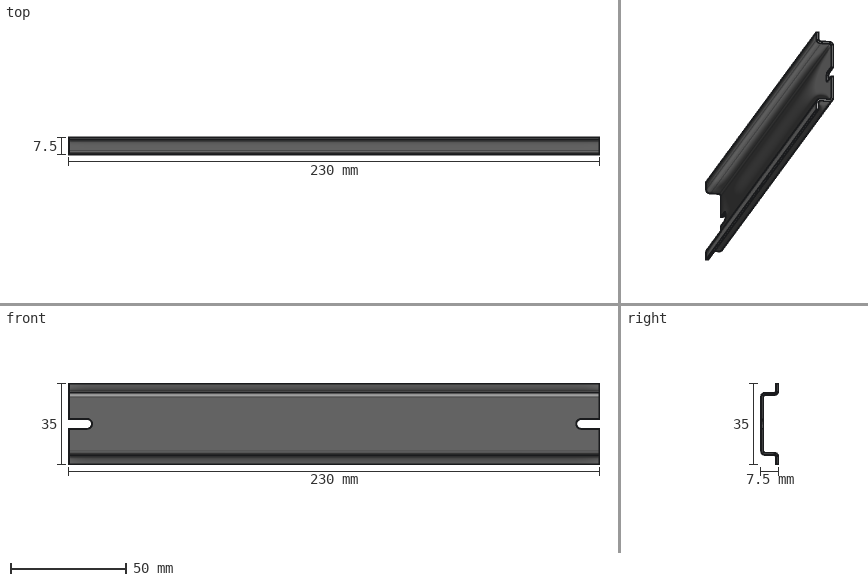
import cadquery as cq

length = 230.0
height = 35.0
depth = 7.5
crown_height = 27.0
sheet = 1.0
inner_bend_radius = 0.8
outer_bend_radius = inner_bend_radius + sheet

slot_width = 4.2
slot_depth = 10.0
slot_radius = slot_width / 2

crown_face_y = -depth / 2
flange_back_y = depth / 2


def bent_rail():
    """Extrude the sharp-cornered hat section and round its bends."""
    half_height = height / 2
    half_crown = crown_height / 2
    half_channel = half_crown - sheet
    crown_back_y = crown_face_y + sheet
    flange_front_y = flange_back_y - sheet

    section = [
        (crown_face_y, -half_crown),
        (crown_face_y, half_crown),
        (flange_front_y, half_crown),
        (flange_front_y, half_height),
        (flange_back_y, half_height),
        (flange_back_y, half_channel),
        (crown_back_y, half_channel),
        (crown_back_y, -half_channel),
        (flange_back_y, -half_channel),
        (flange_back_y, -half_height),
        (flange_front_y, -half_height),
        (flange_front_y, -half_crown),
    ]
    rail = cq.Workplane("YZ").polyline(section).close().extrude(length / 2, both=True)

    outer_bends = [(crown_face_y, half_crown), (flange_back_y, half_channel)]
    inner_bends = [(crown_back_y, half_channel), (flange_front_y, half_crown)]
    rail = round_bends(rail, outer_bends, outer_bend_radius)
    return round_bends(rail, inner_bends, inner_bend_radius)


def round_bends(rail, corners, radius):
    """Fillet the lengthwise edges at the given (y, z) corners and their mirror images in z."""
    half_gap = 0.01
    for y, z in corners:
        for side in (1, -1):
            corner_box = cq.selectors.BoxSelector(
                (-length, y - half_gap, side * z - half_gap),
                (length, y + half_gap, side * z + half_gap),
            )
            rail = rail.edges(corner_box).fillet(radius)
    return rail


def end_slot(end):
    """Cutter for the round-bottomed slot at the +X (end = 1) or -X (end = -1) end."""
    end_x = end * length / 2
    centre_x = end_x - end * (slot_depth - slot_radius)
    apex_x = end_x - end * slot_depth
    return (
        cq.Workplane("XZ")
        .moveTo(end_x, slot_radius)
        .lineTo(centre_x, slot_radius)
        .threePointArc((apex_x, 0), (centre_x, -slot_radius))
        .lineTo(end_x, -slot_radius)
        .close()
        .extrude(depth, both=True)
    )


result = bent_rail()
for end in (1, -1):
    result = result.cut(end_slot(end))